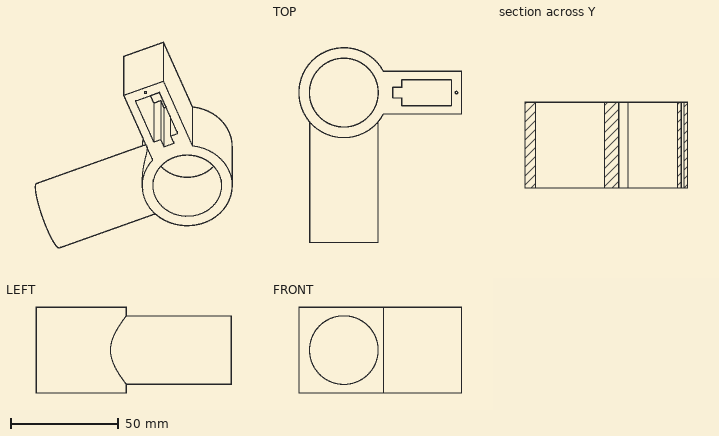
import cadquery as cq

overall_x = 76.0
overall_y = 91.0
height = 40.0
ring_diameter = 42.0
bore_diameter = 32.0
ring_radius = ring_diameter / 2

post_diameter = bore_diameter
post_reach = overall_y - ring_radius

arm_width = 20.0
arm_end_x = overall_x - ring_radius

end_wall = 4.8
pocket_length = 23.1
pocket_width = 12.0
notch_length = 4.1
notch_width = 5.0
pin_diameter = 1.1
pin_x = arm_end_x - end_wall / 2


def upright_cylinder(diameter, x=0):
    return cq.Workplane("XY").center(x, 0).circle(diameter / 2).extrude(height)


def upright_block(start_x, end_x, width):
    """Full-height block between two X positions, centred on Y = 0."""
    length = end_x - start_x
    return (
        cq.Workplane("XY")
        .center(start_x + length / 2, 0)
        .rect(length, width)
        .extrude(height)
    )


post = (
    cq.Workplane("XZ")
    .center(0, height / 2)
    .circle(post_diameter / 2)
    .extrude(post_reach)
)
arm = upright_block(0, arm_end_x, arm_width)
body = upright_cylinder(ring_diameter).union(post).union(arm)

pocket_end_x = arm_end_x - end_wall
pocket_start_x = pocket_end_x - pocket_length
pocket = upright_block(pocket_start_x, pocket_end_x, pocket_width)
notch = upright_block(pocket_start_x - notch_length, pocket_end_x, notch_width)
bore = upright_cylinder(bore_diameter)
pin_hole = upright_cylinder(pin_diameter, pin_x)

result = body.cut(bore).cut(pocket).cut(notch).cut(pin_hole)